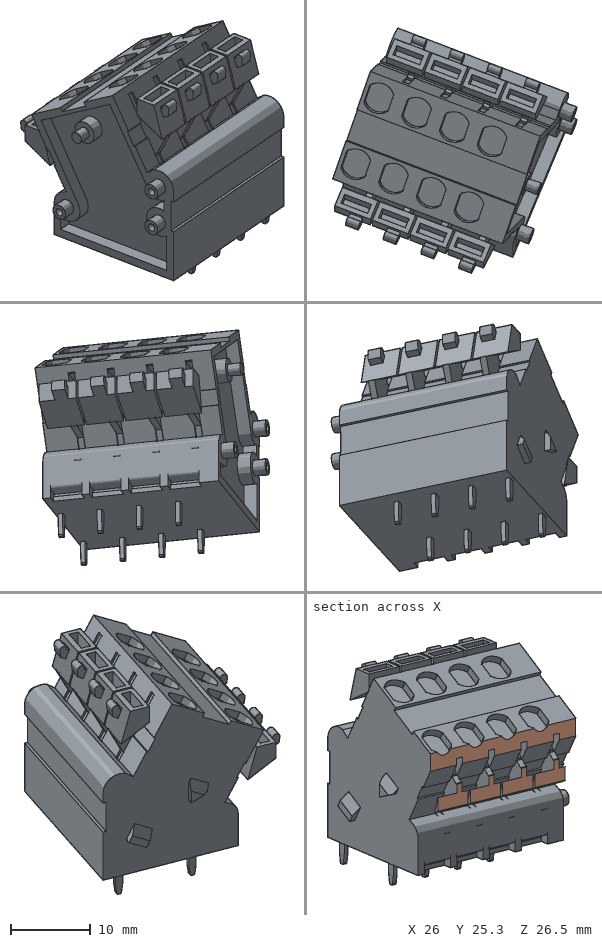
import cadquery as cq
import math

CELL_COUNT = 4
PITCH = 5.08
PLATE_THICKNESS = PITCH / 2
STACK_BACK = PLATE_THICKNESS + CELL_COUNT * PITCH

BASE_WIDTH = 18.72
TILT_DEGREES = 30
TILT = math.radians(TILT_DEGREES)
HEAD_LEFT_CORNER = (-3.54, 16.21)
HEAD_WIDTH = 14.67
HEAD_SIDE = 10.75
STEP_INSET = 5.2
STEP_DEPTH = 0.55
SIDE_RECESS_TOP = 5.0
SIDE_RECESS_BOTTOM = 7.05
SIDE_RECESS_DEPTH = 0.22

LEFT_LUG = (2.03, 4.76)
RIGHT_LUG = (16.46, 12.94)
LOWER_PIN = (16.46, 7.73)
UPPER_PIN = (4.74, 16.54)
LEFT_LUG_RADIUS = LEFT_LUG[0]
LEFT_LUG_END_ANGLE = 120
RIGHT_LUG_START_ANGLE = 112
RIGHT_LUG_RADIUS = BASE_WIDTH - RIGHT_LUG[0]
RELIEF_DEPTH = 0.4
RELIEF_BOTTOM = 7.15
RELIEF_TOP = 11.46

POCKET_DEPTH = 1.7
POCKET_LEFT_X = 1.0
POCKET_RIGHT_X = BASE_WIDTH - 1.1
POCKET_STEP_X = BASE_WIDTH - 1.52
POCKET_BOTTOM_Z = 1.11
HEAD_WALL = 1.03
HEAD_RIM_LEFT = 1.13
HEAD_RIM_RIGHT = 1.15
ISLAND_RADIUS = 2.0
BOSS_DIAMETER = 3.0

PIN_DIAMETER = 2.0
UPPER_PIN_DIAMETER = 1.5
PIN_BULGE = 0.05
PIN_LENGTH = 1.65
PIN_STRAIGHT = 0.95
PIN_ROOT = 0.5
PIN_HOLE_DIAMETER = 1.0
PIN_HOLE_DEPTH = 1.0

HOOK_LENGTH = 0.81
HOOK_CHAMFER = 1.36
HOOK_WIDTH = 2.83
LOWER_HOOK_START = (11.9, 5.8)
LOWER_HOOK_HEIGHT = 2.35
UPPER_HOOK_START = (4.09, 10.4)
UPPER_HOOK_CORNER = (6.88, 8.7)
UPPER_HOOK_LEFT_SIDE = 0.92
UPPER_HOOK_RIGHT_SIDE = 0.7

ENTRY_DIAMETER = 3.9
ENTRY_WIDTH = 3.24
ENTRY_DEPTH = 1.0
ENTRY_INSET = 2.84
ENTRY_FROM_BACK = 2.13

LEVER_WIDTH = 4.8
LEVER_FROM_BACK = 1.18
LEVER_LEFT_CORNER = (-5.79, 13.08)
LEVER_SPACING = 20.26
LEVER_OUTLINE = [(0, 0), (2.63, 0), (3.91, -4.52), (0, -2.35)]
LEVER_SLOT_WALL = 0.61
LEVER_SLOT_WIDTH = 1.25
LEVER_SLOT_DEPTH = 2.0
TAB_WIDTH = 1.7
TAB_FROM_BACK = 3.23
TAB_RADIUS = 0.51
LEFT_TAB_CENTRE = (-1.01, -0.73)
LEFT_TAB_BASE = [(0, -0.71), (0, -2.35), (-1.41, -1.6)]
RIGHT_TAB_CENTRE = (3.66, -0.59)
RIGHT_TAB_BASE = [(2.8, -0.71), (3.34, -2.02), (4.07, -1.58)]

ARM_WIDTH = 0.85
ARM_FROM_FRONT = 0.08
LEFT_ARM_SHOULDER = (-1.52, 12.71)
LEFT_ARM_OUTLINE = [(-3.5, 11.96), (-2.35, 11.96), LEFT_ARM_SHOULDER, (1.5, 11.0), (1.5, 8.2), (-1.88, 8.56)]
RIGHT_ARM_TOP = [(11.78, 20.85), (11.78, 20.5), (11.58, 20.2), (11.17, 20.16)]
RIGHT_ARM_OUTLINE = RIGHT_ARM_TOP + [(10.8, 19.5), (13.5, 15.0), (13.97, 15.34), (15.67, 18.72)]
SLOT_START = 1.06
SLOT_DEPTH = 0.28
SLOT_END = HEAD_SIDE + 1.0
SLOT_CLEARANCE = 5.2
LEFT_POCKET_DEPTH = 4.4

NOTCH_LEG = 1.02
NOTCH_HEIGHT = 1.62
NOTCH_CEILING = 1.1
NOTCH_LIP_X = 1.25
NOTCH_LIP_Z = 0.6

SOLDER_PIN_X = (6.14, 16.3)
SOLDER_PIN_FROM_BACK = 0.4
SOLDER_PIN_THICKNESS = 0.58
SOLDER_PIN_WIDTH = 1.02
SOLDER_PIN_TAPER_Z = -1.45
SOLDER_PIN_CHAMFER_Z = -2.75
SOLDER_PIN_NECK = 0.65
SOLDER_PIN_TIP = 0.45
SOLDER_PIN_LENGTH = 2.95


def tilted_offset(start, along, down):
    """X, Z of a point moved from start along the head's top and down its side."""
    x = start[0] + along * math.cos(TILT) + down * math.sin(TILT)
    z = start[1] + along * math.sin(TILT) - down * math.cos(TILT)
    return (x, z)


def head_point(along, down):
    """X, Z of a point of the head, measured from its upper left corner."""
    return tilted_offset(HEAD_LEFT_CORNER, along, down)


def shifted(start, offsets):
    return [(start[0] + dx, start[1] + dz) for dx, dz in offsets]


def circle_point(centre, radius, degrees):
    angle = math.radians(degrees)
    return (centre[0] + radius * math.cos(angle), centre[1] + radius * math.sin(angle))


def section(y):
    """Sketch plane across the stack with X and Z as its axes; its normal points toward -Y."""
    return cq.Workplane(cq.Plane(origin=(0, y, 0), xDir=(1, 0, 0), normal=(0, -1, 0)))


def prism(points, y, length):
    return section(y).polyline(points).close().extrude(-length)


def cylinder(centre, diameter, y, length):
    return section(y).center(*centre).circle(diameter / 2).extrude(-length)


def side_recess(edge, inward):
    """Corners, from top to bottom, of the shallow recess in one side of the head."""
    floor = edge + inward * SIDE_RECESS_DEPTH
    return [
        head_point(edge, SIDE_RECESS_TOP),
        head_point(floor, SIDE_RECESS_TOP),
        head_point(floor, SIDE_RECESS_BOTTOM),
        head_point(edge, SIDE_RECESS_BOTTOM),
    ]


def housing(y, length):
    relief_x = BASE_WIDTH - RELIEF_DEPTH
    step_end = HEAD_WIDTH - STEP_INSET
    outline = (
        section(y)
        .moveTo(0, 0)
        .lineTo(0, LEFT_LUG[1])
        .threePointArc(
            circle_point(LEFT_LUG, LEFT_LUG_RADIUS, (180 + LEFT_LUG_END_ANGLE) / 2),
            circle_point(LEFT_LUG, LEFT_LUG_RADIUS, LEFT_LUG_END_ANGLE),
        )
        .lineTo(*head_point(0, HEAD_SIDE))
    )
    corners = side_recess(0, 1)[::-1]
    corners += [head_point(0, 0), head_point(STEP_INSET, 0), head_point(STEP_INSET, STEP_DEPTH)]
    corners += [head_point(step_end, STEP_DEPTH), head_point(step_end, 0), head_point(HEAD_WIDTH, 0)]
    corners += side_recess(HEAD_WIDTH, -1)
    corners.append(head_point(HEAD_WIDTH, HEAD_SIDE))
    corners.append(circle_point(RIGHT_LUG, RIGHT_LUG_RADIUS, RIGHT_LUG_START_ANGLE))
    for corner in corners:
        outline = outline.lineTo(*corner)
    return (
        outline.threePointArc(
            circle_point(RIGHT_LUG, RIGHT_LUG_RADIUS, RIGHT_LUG_START_ANGLE / 2),
            circle_point(RIGHT_LUG, RIGHT_LUG_RADIUS, 0),
        )
        .lineTo(BASE_WIDTH, RELIEF_TOP)
        .lineTo(relief_x, RELIEF_TOP)
        .lineTo(relief_x, RELIEF_BOTTOM)
        .lineTo(BASE_WIDTH, RELIEF_BOTTOM)
        .lineTo(BASE_WIDTH, 0)
        .close()
        .extrude(-length)
    )


def plate_pocket():
    """Pocket that leaves a rim, three round islands and a boss around the coupling pins."""
    pocket = prism(
        [
            (POCKET_LEFT_X, POCKET_BOTTOM_Z),
            (POCKET_LEFT_X, LEFT_LUG[1]),
            LEFT_LUG,
            circle_point(LEFT_LUG, ISLAND_RADIUS, TILT_DEGREES),
            head_point(HEAD_RIM_LEFT, HEAD_WALL),
            head_point(HEAD_WIDTH - HEAD_RIM_RIGHT, HEAD_WALL),
            circle_point(RIGHT_LUG, ISLAND_RADIUS, 180 + TILT_DEGREES),
            RIGHT_LUG,
            (POCKET_STEP_X, RIGHT_LUG[1]),
            (POCKET_STEP_X, LOWER_PIN[1]),
            (POCKET_RIGHT_X, LOWER_PIN[1]),
            (POCKET_RIGHT_X, POCKET_BOTTOM_Z),
        ],
        0,
        POCKET_DEPTH,
    )
    for centre in (LEFT_LUG, RIGHT_LUG, LOWER_PIN):
        pocket = pocket.cut(cylinder(centre, 2 * ISLAND_RADIUS, 0, POCKET_DEPTH))
    island_bottom = LEFT_LUG[1] - ISLAND_RADIUS
    island_foot = prism(
        [(POCKET_LEFT_X, island_bottom), (POCKET_LEFT_X, LEFT_LUG[1]),
         LEFT_LUG, (LEFT_LUG[0], island_bottom)],
        0,
        POCKET_DEPTH,
    )
    return pocket.cut(island_foot).cut(cylinder(UPPER_PIN, BOSS_DIAMETER, 0, POCKET_DEPTH))


def coupling_pin(centre, diameter):
    """Round pin whose tip swells slightly so that it snaps into its socket."""
    radius = diameter / 2
    tip_middle = (PIN_STRAIGHT + PIN_LENGTH) / 2
    return (
        cq.Workplane("XY", origin=(centre[0], 0, centre[1]))
        .moveTo(0, PIN_ROOT)
        .lineTo(radius, PIN_ROOT)
        .lineTo(radius, -PIN_STRAIGHT)
        .threePointArc((radius + PIN_BULGE, -tip_middle), (radius, -PIN_LENGTH))
        .lineTo(0, -PIN_LENGTH)
        .close()
        .revolve(360, (0, 0, 0), (0, 1, 0))
    )


def end_plate():
    plate = housing(0, PLATE_THICKNESS).cut(plate_pocket())
    plate = plate.union(coupling_pin(UPPER_PIN, UPPER_PIN_DIAMETER))
    for centre in (LEFT_LUG, RIGHT_LUG, LOWER_PIN):
        plate = plate.union(coupling_pin(centre, PIN_DIAMETER))
        plate = plate.cut(cylinder(centre, PIN_HOLE_DIAMETER, -PIN_LENGTH, PIN_HOLE_DEPTH))
    return plate


def wire_entry(along, y):
    """Round entry with two flats, sunk square to the top of the head."""
    x, z = head_point(along, 0)
    plane = cq.Plane(
        origin=(x, y, z),
        xDir=(math.cos(TILT), 0, math.sin(TILT)),
        normal=(-math.sin(TILT), 0, math.cos(TILT)),
    )
    round_part = cq.Workplane(plane).circle(ENTRY_DIAMETER / 2).extrude(-ENTRY_DEPTH)
    flats = cq.Workplane(plane).rect(ENTRY_DIAMETER, ENTRY_WIDTH).extrude(-ENTRY_DEPTH)
    return round_part.intersect(flats)


def arm_slot(edge, inward, y):
    """Shallow slot down one side of the head, running out over the lug below it."""
    floor = edge + inward * SLOT_DEPTH
    outside = edge - inward * SLOT_CLEARANCE
    slot = prism(
        [head_point(outside, SLOT_START), head_point(floor, SLOT_START),
         head_point(floor, SLOT_END), head_point(outside, SLOT_END)],
        y,
        ARM_WIDTH,
    )
    for centre, radius in ((LEFT_LUG, LEFT_LUG_RADIUS), (RIGHT_LUG, RIGHT_LUG_RADIUS)):
        slot = slot.cut(cylinder(centre, 2 * radius, y, ARM_WIDTH))
    return slot


def left_arm_pocket(y):
    """Opening above the left arm, bounded below by the arm's sloping back."""
    entry = head_point(0, SLOT_START)
    return prism([entry, (entry[0] + LEFT_POCKET_DEPTH, entry[1]), LEFT_ARM_SHOULDER], y, ARM_WIDTH)


def bottom_notch(y, length):
    rounding = NOTCH_HEIGHT - NOTCH_CEILING
    arc_middle = circle_point((rounding, NOTCH_HEIGHT), rounding, 225)
    return (
        section(y)
        .moveTo(0, 0)
        .lineTo(NOTCH_LIP_X, 0)
        .lineTo(NOTCH_LIP_X, NOTCH_LIP_Z)
        .lineTo(NOTCH_LIP_X + NOTCH_CEILING - NOTCH_LIP_Z, NOTCH_CEILING)
        .lineTo(rounding, NOTCH_CEILING)
        .threePointArc(arc_middle, (0, NOTCH_HEIGHT))
        .close()
        .extrude(-length)
    )


def lever_body(corner, y):
    """Lever head with its upper left corner at the given X, Z and a blind slot in its flat top."""
    body = prism(shifted(corner, LEVER_OUTLINE), y, LEVER_WIDTH)
    slot = (
        cq.Workplane("XY", origin=(corner[0] + LEVER_SLOT_WALL, y + LEVER_SLOT_WALL, corner[1]))
        .rect(LEVER_SLOT_WIDTH, LEVER_WIDTH - 2 * LEVER_SLOT_WALL, centered=False)
        .extrude(-LEVER_SLOT_DEPTH)
    )
    return body.cut(slot)


def lever(corner, tab_offset, tab_base, tab_angles, arm_outline, cell_front):
    """Lever head with a round-nosed tab outside and a thin arm that reaches into the head."""
    back = cell_front + PITCH
    y_tab = back - TAB_FROM_BACK - TAB_WIDTH
    tab_centre = shifted(corner, [tab_offset])[0]
    tab_outline = shifted(corner, tab_base)
    tab_outline += [circle_point(tab_centre, TAB_RADIUS, angle) for angle in tab_angles]
    tab = prism(tab_outline, y_tab, TAB_WIDTH)
    tab = tab.union(cylinder(tab_centre, 2 * TAB_RADIUS, y_tab, TAB_WIDTH))
    arm = prism(arm_outline, cell_front + ARM_FROM_FRONT, ARM_WIDTH)
    return lever_body(corner, back - LEVER_FROM_BACK - LEVER_WIDTH).union(tab).union(arm)


def left_lever(cell_front):
    return lever(LEVER_LEFT_CORNER, LEFT_TAB_CENTRE, LEFT_TAB_BASE, (180, 0), LEFT_ARM_OUTLINE, cell_front)


def right_lever(cell_front):
    corner = tilted_offset(LEVER_LEFT_CORNER, LEVER_SPACING, 0)
    return lever(corner, RIGHT_TAB_CENTRE, RIGHT_TAB_BASE, (0, 190), RIGHT_ARM_OUTLINE, cell_front)


def solder_pin(x, y):
    right_side = [
        (SOLDER_PIN_WIDTH / 2, PIN_ROOT),
        (SOLDER_PIN_WIDTH / 2, SOLDER_PIN_TAPER_Z),
        (SOLDER_PIN_NECK / 2, SOLDER_PIN_CHAMFER_Z),
        (SOLDER_PIN_TIP / 2, -SOLDER_PIN_LENGTH),
    ]
    points = [(x + half, z) for half, z in right_side]
    points += [(x - half, z) for half, z in reversed(right_side)]
    return prism(points, y, SOLDER_PIN_THICKNESS)


def terminal_cell(front):
    back = front + PITCH
    cell = housing(front, PITCH)
    for along in (ENTRY_INSET, HEAD_WIDTH - ENTRY_INSET):
        cell = cell.cut(wire_entry(along, back - ENTRY_FROM_BACK))
    y_arm = front + ARM_FROM_FRONT
    cell = cell.cut(arm_slot(0, 1, y_arm)).cut(arm_slot(HEAD_WIDTH, -1, y_arm))
    cell = cell.cut(left_arm_pocket(y_arm))
    cell = cell.cut(bottom_notch(front, PITCH - NOTCH_LEG))
    cell = cell.union(left_lever(front)).union(right_lever(front))
    for x in SOLDER_PIN_X:
        cell = cell.union(solder_pin(x, back - SOLDER_PIN_FROM_BACK - SOLDER_PIN_THICKNESS))
    return cell


def coupling_hook(points):
    """Hook on the back face; its upper edge, between the first two points, slopes away."""
    hook = prism(points, STACK_BACK, HOOK_LENGTH)
    x, z = points[0]
    plane = cq.Plane(
        origin=(x, STACK_BACK, z),
        xDir=(0, 1, 0),
        normal=(math.cos(TILT), 0, math.sin(TILT)),
    )
    slope = (
        cq.Workplane(plane)
        .polyline([(0, 0), (HOOK_LENGTH, 0), (HOOK_LENGTH, -HOOK_CHAMFER)])
        .close()
        .extrude(2 * HOOK_WIDTH, both=True)
    )
    return hook.cut(slope)


def lower_hook():
    return coupling_hook([
        LOWER_HOOK_START,
        tilted_offset(LOWER_HOOK_START, HOOK_WIDTH, 0),
        tilted_offset(LOWER_HOOK_START, HOOK_WIDTH, LOWER_HOOK_HEIGHT),
        tilted_offset(LOWER_HOOK_START, 0, LOWER_HOOK_HEIGHT),
    ])


def upper_hook():
    return coupling_hook([
        UPPER_HOOK_START,
        tilted_offset(UPPER_HOOK_START, HOOK_WIDTH, 0),
        tilted_offset(UPPER_HOOK_START, HOOK_WIDTH, UPPER_HOOK_RIGHT_SIDE),
        UPPER_HOOK_CORNER,
        tilted_offset(UPPER_HOOK_START, 0, UPPER_HOOK_LEFT_SIDE),
    ])


result = end_plate()
for index in range(CELL_COUNT):
    result = result.union(terminal_cell(PLATE_THICKNESS + index * PITCH), clean=False)
result = result.union(lower_hook(), clean=False).union(upper_hook(), clean=False)